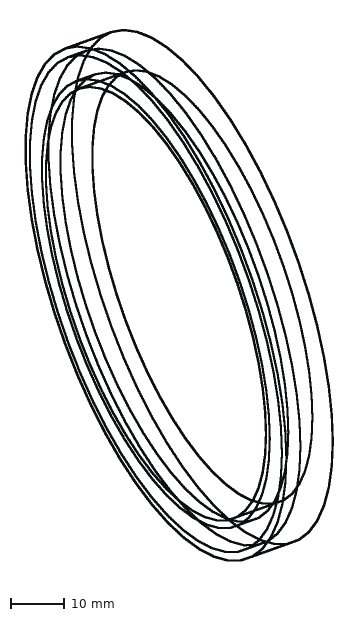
import cadquery as cq

outer_diameter = 102.0
bore_diameter = 86.0
groove_outer_diameter = 98.5
groove_inner_diameter = 89.0
width = 10.0
groove_depth = 4.0


def tube(outside, inside, length):
    """Tube centred on the Y axis, running from the -Y face toward +Y."""
    return (
        cq.Workplane("XZ", origin=(0, -width / 2, 0))
        .circle(outside / 2)
        .circle(inside / 2)
        .extrude(-length)
    )


ring = tube(outer_diameter, bore_diameter, width)
groove = tube(groove_outer_diameter, groove_inner_diameter, groove_depth)

result = ring.cut(groove)